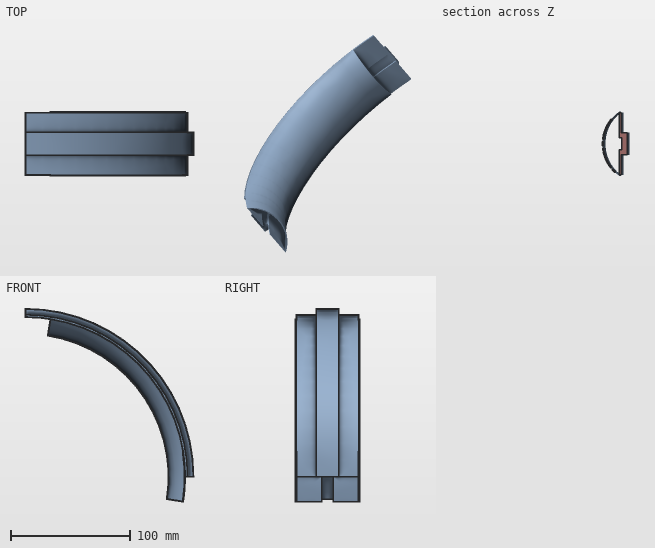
import math

import cadquery as cq

rib_outer_radius = 140.66
rib_height = 5.0
plate_thickness = 2.0
plate_outer_radius = rib_outer_radius - rib_height
plate_inner_radius = plate_outer_radius - plate_thickness

plate_width = 52.3
rib_width = 19.2
groove_width = 9.4

shell_width = 53.75
shell_depth = 14.0
shell_thickness = 1.0

plate_sweep = 90.0
lap_drop = 20.84
lap_angle = math.degrees(math.asin(lap_drop / plate_inner_radius))

wall_thickness = 0.5
cutter_clearance = 0.5


def bend(profile, start_angle, sweep):
    """Revolve a YZ profile about the Y axis, starting start_angle past +Z toward +X."""
    body = profile.revolve(sweep, (0, 0), (1, 0))
    return body.rotate((0, 0, 0), (0, 1, 0), start_angle)


def bent_strip(width, inner_radius, outer_radius, start_angle, sweep):
    """Curved strip of rectangular section, centred on Y = 0."""
    height = outer_radius - inner_radius
    mid_radius = inner_radius + height / 2
    profile = cq.Workplane("YZ").center(0, mid_radius).rect(width, height).center(0, -mid_radius)
    return bend(profile, start_angle, sweep)


def make_plate():
    """Quarter-turn plate with a central rib on its outer face."""
    base = bent_strip(plate_width, plate_inner_radius, plate_outer_radius, 0, plate_sweep)
    rib = bent_strip(rib_width, plate_inner_radius, rib_outer_radius, 0, plate_sweep)
    return base.union(rib)


def make_shell():
    """Arc-shaped trough whose rims meet the underside of the plate."""
    outer_half = shell_width / 2
    inner_half = plate_width / 2
    outer_bottom = plate_inner_radius - shell_depth
    inner_bottom = outer_bottom + shell_thickness
    profile = (
        cq.Workplane("YZ")
        .moveTo(-outer_half, plate_inner_radius)
        .threePointArc((0, outer_bottom), (outer_half, plate_inner_radius))
        .lineTo(inner_half, plate_inner_radius)
        .threePointArc((0, inner_bottom), (-inner_half, plate_inner_radius))
        .close()
    )
    return bend(profile, lap_angle, plate_sweep)


def make_lap_wall():
    """Wall across the trough mouth, lapping equally under and beyond the plate end."""
    wall_inner_radius = plate_inner_radius - wall_thickness
    start_angle = plate_sweep - lap_angle
    return bent_strip(plate_width, wall_inner_radius, plate_inner_radius, start_angle, 2 * lap_angle)


def make_groove_cutter():
    """Cutter for the central groove, which opens the lap wall and enters the rib."""
    groove_inner_radius = plate_inner_radius - wall_thickness - cutter_clearance
    groove_sweep = plate_sweep + 2 * lap_angle
    return bent_strip(groove_width, groove_inner_radius, plate_outer_radius, 0, groove_sweep)


grooved_plate = make_plate().union(make_lap_wall()).cut(make_groove_cutter())
result = grooved_plate.union(make_shell())